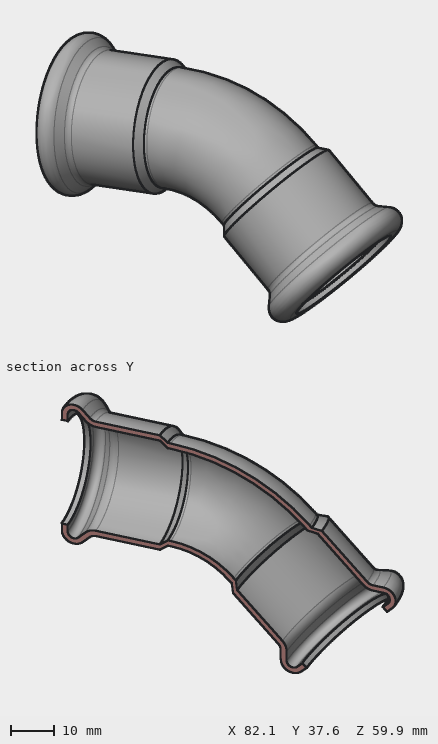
import cadquery as cq
import math

overall_length = 82.1

wall = 1.6
tube_radius = 13.95
socket_radius = 15.5
tube_bore = tube_radius - wall
socket_bore = socket_radius - wall

bead_round = 3.0
bead_crest_radius = 18.8
bead_ring_radius = bead_crest_radius - bead_round

shoulder_start = 24.1
shoulder_end = 26.1
end_length = 26.8

slope = math.sqrt(0.5)
half_flank = math.radians(22.5)

neck_round = 2.05
flank_sum = bead_crest_radius + 2 * slope * bead_round
neck_end = flank_sum - socket_radius - neck_round * (1 - 2 * slope)

bend_angle = 45
bend_sine = math.sin(math.radians(bend_angle))
bend_cosine = math.cos(math.radians(bend_angle))
lower_reach = (end_length - bead_round) * bend_cosine + bead_ring_radius * bend_sine + bead_round
bend_radius = (overall_length - end_length - lower_reach) / bend_sine


def revolve_socket(front, radius, bead, neck, end_radius):
    """Finishes a half outline that starts at the mouth and revolves it about X.

    The outline runs over the bead, down its 45 degree flank, through the rounded
    neck to the cylinder, and down the shoulder to the tube.
    """
    flank_start = (bead_round + bead * slope, bead_ring_radius + bead * slope)
    neck_start = (neck_end - neck * slope, radius + neck * (1 - slope))
    neck_middle = (
        neck_end - neck * math.sin(half_flank),
        radius + neck * (1 - math.cos(half_flank)),
    )
    return (
        front.threePointArc((bead_round, bead_ring_radius + bead), flank_start)
        .lineTo(*neck_start)
        .threePointArc(neck_middle, (neck_end, radius))
        .lineTo(shoulder_start, radius)
        .lineTo(shoulder_end, end_radius)
        .lineTo(end_length, end_radius)
        .lineTo(end_length, 0)
        .close()
        .revolve(360, (0, 0, 0), (1, 0, 0))
    )


def socket_outside():
    """Outer solid of one end, with its mouth at X = 0."""
    front = cq.Workplane("XY").lineTo(0, bead_ring_radius)
    return revolve_socket(front, socket_radius, bead_round, neck_round, tube_radius)


def socket_inside():
    """Bore of one end: mouth, seal groove inside the bead, socket bore and tube bore."""
    front = (
        cq.Workplane("XY")
        .lineTo(0, socket_bore)
        .lineTo(wall, socket_bore)
        .lineTo(wall, bead_ring_radius)
    )
    return revolve_socket(front, socket_bore, bead_round - wall, neck_round + wall, tube_bore)


def bend(radius):
    """Solid bend of the given section radius, from the end of the first socket."""
    return (
        cq.Workplane("YZ", origin=(end_length, 0, 0))
        .circle(radius)
        .revolve(bend_angle, (0, -bend_radius, 0), (1, -bend_radius, 0))
    )


def at_both_ends(end):
    """The end itself and its mirror image across the middle plane of the bend."""
    centre = (end_length, 0, -bend_radius)
    opposite = end.mirror("YZ", centre).rotate(
        centre, (end_length, 1, -bend_radius), bend_angle
    )
    return end, opposite


def along_pipe(end, section_radius):
    """Joins a bend of the given section with an end on either side."""
    first, second = at_both_ends(end)
    return bend(section_radius).union(first).union(second)


result = along_pipe(socket_outside(), tube_radius).cut(along_pipe(socket_inside(), tube_bore))